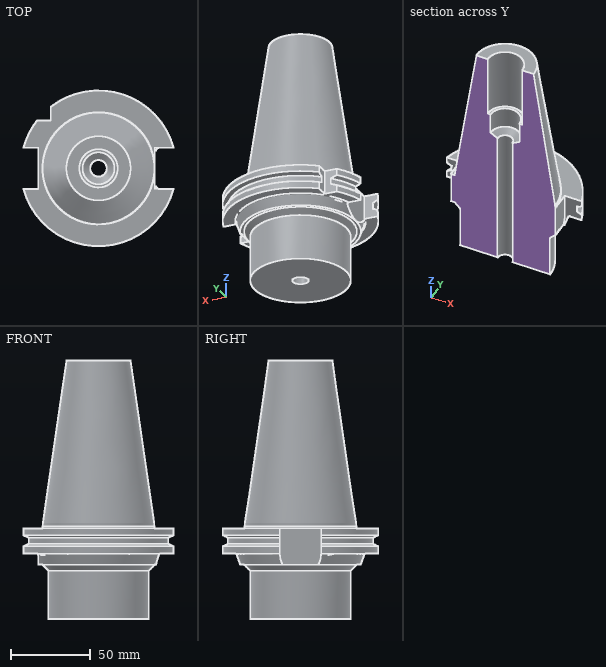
import cadquery as cq
import math

GAUGE_DIA = 69.85
TAPER_LENGTH = 101.75
TAPER_RATE = 7 / 24
GAUGE_BAND_HEIGHT = 1.8
NECK_DIA = 70.3

FLANGE_DIA = 97.5
FLANGE_TOP_Z = -3.2
FLANGE_BOTTOM_Z = -19.0
GROOVE_CENTER_Z = -11.0
GROOVE_MOUTH_WIDTH = 7.0
GROOVE_ROOT_DIA = 91.2
GROOVE_ROOT_WIDTH = 3.8

COLLAR_FILLET = 1.0
COLLAR_BOTTOM_DIA = 75.5
COLLAR_BOTTOM_Z = -25.9
COLLAR_ANGLE = 20.0
NOSE_DIA = 63.0
NOSE_CONE_BOTTOM_Z = -29.7
NOSE_END_Z = -60.0

BORE_DIA = 24.0
BORE_DEPTH = 45.0
CORE_DIA = 20.0
CORE_DEPTH = 60.0
THROUGH_DIA = 10.2
DRILL_POINT_ANGLE = 118.0

KEYWAY_WIDTH = 25.7
KEYWAY_FLOOR_LEFT = 37.8
KEYWAY_FLOOR_RIGHT = 35.3
KEYWAY_ROUND_Z = -19.5
NOTCH_CORNER_X = -30.0
NOTCH_CORNER_Y = 30.0


def body():
    """Solid of revolution: taper, neck, grooved flange, collar and nose."""
    gauge_r = GAUGE_DIA / 2
    small_end_r = gauge_r - TAPER_LENGTH * TAPER_RATE / 2
    neck_r = NECK_DIA / 2
    flange_r = FLANGE_DIA / 2
    root_r = GROOVE_ROOT_DIA / 2
    mouth_half = GROOVE_MOUTH_WIDTH / 2
    root_half = GROOVE_ROOT_WIDTH / 2
    collar_bottom_r = COLLAR_BOTTOM_DIA / 2
    fillet_z = FLANGE_BOTTOM_Z - COLLAR_FILLET
    fillet_r = collar_bottom_r + (fillet_z - COLLAR_BOTTOM_Z) * math.tan(math.radians(COLLAR_ANGLE))
    cone_top_r = NOSE_DIA / 2 + COLLAR_BOTTOM_Z - NOSE_CONE_BOTTOM_Z
    arc_offset = COLLAR_FILLET * (1 - math.sqrt(0.5))
    return (
        cq.Workplane("XZ")
        .moveTo(0, TAPER_LENGTH)
        .lineTo(small_end_r, TAPER_LENGTH)
        .lineTo(gauge_r, 0)
        .lineTo(gauge_r, -GAUGE_BAND_HEIGHT)
        .lineTo(neck_r, -GAUGE_BAND_HEIGHT)
        .lineTo(neck_r, FLANGE_TOP_Z)
        .lineTo(flange_r, FLANGE_TOP_Z)
        .lineTo(flange_r, GROOVE_CENTER_Z + mouth_half)
        .lineTo(root_r, GROOVE_CENTER_Z + root_half)
        .lineTo(root_r, GROOVE_CENTER_Z - root_half)
        .lineTo(flange_r, GROOVE_CENTER_Z - mouth_half)
        .lineTo(flange_r, FLANGE_BOTTOM_Z)
        .lineTo(fillet_r + COLLAR_FILLET, FLANGE_BOTTOM_Z)
        .threePointArc(
            (fillet_r + arc_offset, FLANGE_BOTTOM_Z - arc_offset),
            (fillet_r, fillet_z),
        )
        .lineTo(collar_bottom_r, COLLAR_BOTTOM_Z)
        .lineTo(cone_top_r, COLLAR_BOTTOM_Z)
        .lineTo(NOSE_DIA / 2, NOSE_CONE_BOTTOM_Z)
        .lineTo(NOSE_DIA / 2, NOSE_END_Z)
        .lineTo(0, NOSE_END_Z)
        .close()
        .revolve(360, (0, 0, 0), (0, 1, 0))
    )


def bore():
    """Stepped hole from the small end of the taper, with a drill point and a through hole."""
    core_r = CORE_DIA / 2
    through_r = THROUGH_DIA / 2
    core_end_z = TAPER_LENGTH - CORE_DEPTH
    point_height = (core_r - through_r) / math.tan(math.radians(DRILL_POINT_ANGLE / 2))
    return (
        cq.Workplane("XZ")
        .moveTo(0, TAPER_LENGTH)
        .lineTo(BORE_DIA / 2, TAPER_LENGTH)
        .lineTo(BORE_DIA / 2, TAPER_LENGTH - BORE_DEPTH)
        .lineTo(core_r, TAPER_LENGTH - BORE_DEPTH)
        .lineTo(core_r, core_end_z)
        .lineTo(through_r, core_end_z - point_height)
        .lineTo(through_r, NOSE_END_Z)
        .lineTo(0, NOSE_END_Z)
        .close()
        .revolve(360, (0, 0, 0), (0, 1, 0))
    )


def keyway(floor, side):
    """Slot open outwards along X with a half-round lower end; side is -1 or 1."""
    half_width = KEYWAY_WIDTH / 2
    start_x = min(side * floor, side * FLANGE_DIA)
    return (
        cq.Workplane("YZ", origin=(start_x, 0, 0))
        .moveTo(-half_width, FLANGE_TOP_Z)
        .lineTo(-half_width, KEYWAY_ROUND_Z)
        .threePointArc((0, KEYWAY_ROUND_Z - half_width), (half_width, KEYWAY_ROUND_Z))
        .lineTo(half_width, FLANGE_TOP_Z)
        .close()
        .extrude(FLANGE_DIA - floor)
    )


def orientation_notch():
    """Square-cornered notch through the flange rim on the -X, +Y side."""
    return (
        cq.Workplane("XY", origin=(0, 0, FLANGE_BOTTOM_Z))
        .moveTo(NOTCH_CORNER_X, NOTCH_CORNER_Y)
        .lineTo(NOTCH_CORNER_X, FLANGE_DIA)
        .lineTo(-FLANGE_DIA, FLANGE_DIA)
        .lineTo(-FLANGE_DIA, NOTCH_CORNER_Y)
        .close()
        .extrude(FLANGE_TOP_Z - FLANGE_BOTTOM_Z)
    )


result = (
    body()
    .cut(bore())
    .cut(keyway(KEYWAY_FLOOR_LEFT, -1))
    .cut(keyway(KEYWAY_FLOOR_RIGHT, 1))
    .cut(orientation_notch())
)